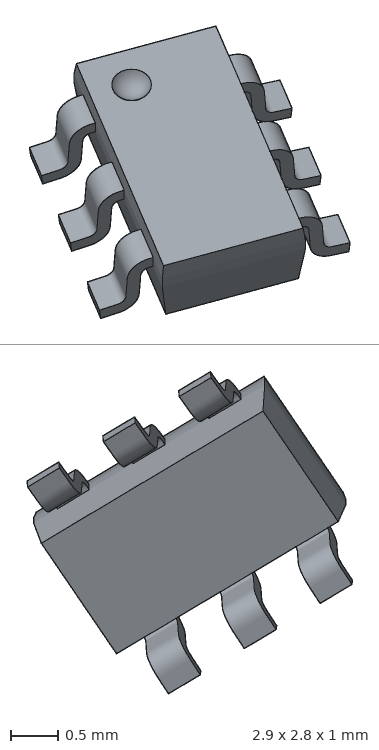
import cadquery as cq
import math

body_length = 2.9
body_width = 1.6
body_bottom = 0.1
total_height = 1.0
band_top = 0.81
draft_angle = 6.0

lead_thickness = 0.15
lead_width = 0.4
lead_pitch = 0.95
lead_columns = (-1, 0, 1)
lead_root = 0.58
lead_tip = 1.4
shoulder_length = 0.038
inner_radius = 0.102
outer_radius = inner_radius + lead_thickness
leg_angle = 3.0
foot_angle = 5.0

dimple_x = -0.972
dimple_y = -0.32
dimple_radius = 0.21
dimple_depth = 0.13

band_bottom = band_top - lead_thickness


def polar(center, radius, degrees):
    """Point at a radius and angle from a center in the lead profile plane."""
    angle = math.radians(degrees)
    return (center[0] + radius * math.cos(angle), center[1] + radius * math.sin(angle))


def make_block(base_height, height, taper):
    """Body-sized rectangle extruded from base_height; negative height goes down."""
    return (
        cq.Workplane("XY")
        .workplane(offset=base_height)
        .rect(body_length, body_width)
        .extrude(height, taper=taper)
    )


def make_body():
    band = make_block(band_bottom, lead_thickness, 0)
    cap = make_block(band_top, total_height - band_top, draft_angle)
    base = make_block(band_bottom, body_bottom - band_bottom, draft_angle)
    return band.union(cap).union(base)


def make_lead():
    """Lead on the +Y side, centred on X = 0, standing on Z = 0."""
    upper_bend = (body_width / 2 + shoulder_length, band_top - outer_radius)

    foot_normal = 90 - foot_angle
    cos_foot = math.cos(math.radians(foot_angle))
    tan_foot = math.tan(math.radians(foot_angle))

    tip_top = (lead_tip, lead_thickness * cos_foot)
    tip_bottom = polar(tip_top, -lead_thickness, foot_normal)
    bend_spacing = inner_radius + outer_radius
    unbent = polar(upper_bend, bend_spacing, leg_angle)
    foot_line_at_unbent = (
        tip_bottom[1] + (tip_bottom[0] - unbent[0]) * tan_foot + outer_radius / cos_foot
    )
    lean = math.radians(leg_angle)
    leg_length = (unbent[1] - foot_line_at_unbent) / (math.cos(lean) - math.sin(lean) * tan_foot)
    lower_bend = polar(unbent, leg_length, leg_angle - 90)

    upper_middle = (90 + leg_angle) / 2
    leg_side = 180 + leg_angle
    foot_side = 180 + foot_normal
    lower_middle = (leg_side + foot_side) / 2

    profile = (
        cq.Workplane("YZ")
        .workplane(offset=-lead_width / 2)
        .moveTo(lead_root, band_top)
        .lineTo(upper_bend[0], band_top)
        .threePointArc(
            polar(upper_bend, outer_radius, upper_middle),
            polar(upper_bend, outer_radius, leg_angle),
        )
        .lineTo(*polar(lower_bend, inner_radius, leg_side))
        .threePointArc(
            polar(lower_bend, inner_radius, lower_middle),
            polar(lower_bend, inner_radius, foot_side),
        )
        .lineTo(*tip_top)
        .lineTo(*tip_bottom)
        .lineTo(*polar(lower_bend, outer_radius, foot_side))
        .threePointArc(
            polar(lower_bend, outer_radius, lower_middle),
            polar(lower_bend, outer_radius, leg_side),
        )
        .lineTo(*polar(upper_bend, inner_radius, leg_angle))
        .threePointArc(
            polar(upper_bend, inner_radius, upper_middle),
            (upper_bend[0], band_bottom),
        )
        .lineTo(lead_root, band_bottom)
        .close()
    )
    return profile.extrude(lead_width)


def make_dimple():
    """Sphere whose cap cuts the chosen radius and depth into the top face."""
    sphere_radius = (dimple_radius**2 + dimple_depth**2) / (2 * dimple_depth)
    center_height = total_height - dimple_depth + sphere_radius
    return cq.Workplane("XY").sphere(sphere_radius).translate((dimple_x, dimple_y, center_height))


result = make_body().cut(make_dimple())
back_lead = make_lead()
front_lead = back_lead.mirror("XZ")
for column in lead_columns:
    offset = (column * lead_pitch, 0, 0)
    result = result.union(back_lead.translate(offset)).union(front_lead.translate(offset))